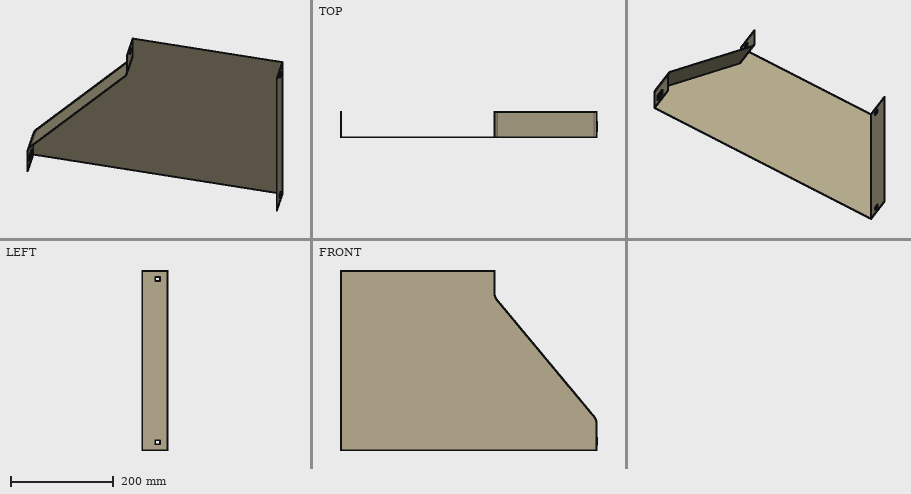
import cadquery as cq

length = 500.0
depth = 50.0
height = 350.0
sheet = 0.75

pad_height = 1.0
pad_width = 18.0
pad_across = 14.0
pad_y = 21.5
pad_z = 18.0

right_x = length - pad_height
step_x = 300.0
slope_top_z = 299.0
slope_bottom_z = 60.0
inside_bend_radius = 20.0
outside_bend_radius = 25.0

hole_width = 9.0
hole_height = 7.5
hole_y = 20.0
hole_edge_distance = 16.0
hole_levels = (hole_edge_distance, height - hole_edge_distance)


def block(x_size, y_size, z_size, corner):
    """Box placed by its lowest corner."""
    return cq.Workplane("XY").box(x_size, y_size, z_size, centered=False).translate(corner)


def profile_prism():
    """Outer profile extruded to full depth, with both ends of the slope rounded."""
    points = [
        (0, 0),
        (right_x, 0),
        (right_x, slope_bottom_z),
        (step_x, slope_top_z),
        (step_x, height),
        (0, height),
    ]
    prism = cq.Workplane("XZ").polyline(points).close().extrude(-depth)
    lower_bend = cq.selectors.NearestToPointSelector((right_x, depth / 2, slope_bottom_z))
    prism = prism.edges(lower_bend).fillet(outside_bend_radius)
    upper_bend = cq.selectors.NearestToPointSelector((step_x, depth / 2, slope_top_z))
    return prism.edges(upper_bend).fillet(inside_bend_radius)


def folded_sheet():
    """Front face with flanges along the left, step, slope and right edges."""
    return profile_prism().faces(">Y or >Z or <Z").shell(-sheet)


def pad():
    """Thin rectangular pad on the outside of the right flange."""
    corner = (right_x, pad_y - pad_width / 2, pad_z - pad_across / 2)
    return block(pad_height, pad_width, pad_across, corner)


def hole_cutters():
    """Rectangular cutters running along X at the lower and upper fixing levels."""
    centers = [(hole_y, level) for level in hole_levels]
    return cq.Workplane("YZ").pushPoints(centers).rect(hole_width, hole_height).extrude(length)


result = folded_sheet().union(pad()).cut(hole_cutters())